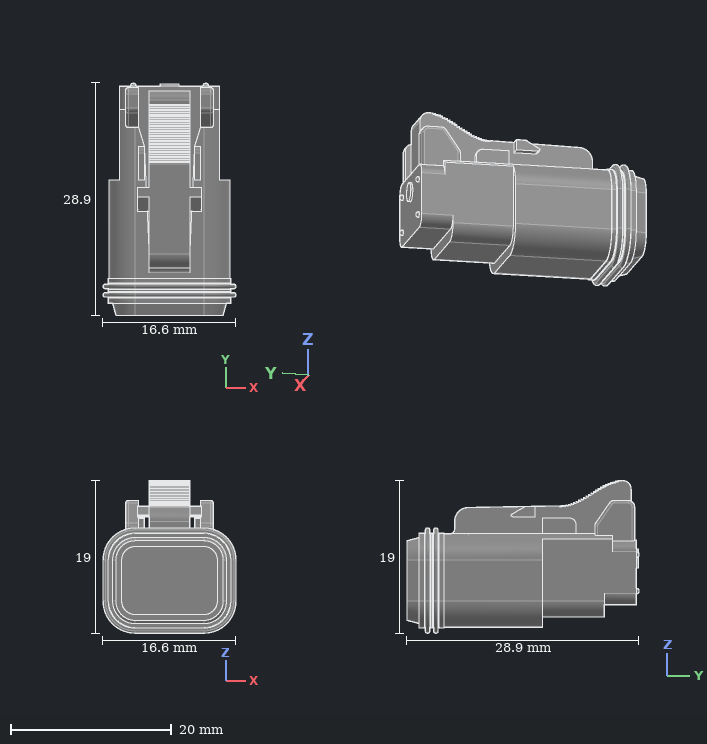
import cadquery as cq
import math


ring_outer_width = 16.55
ring_outer_height = 13.1
corner_x = 4.27
ring_radius = ring_outer_width / 2 - corner_x
corner_z = ring_outer_height / 2 - ring_radius
shell_radius = 3.25
collar_radius = 3.35
groove_depth = 0.1
groove_radius = collar_radius - groove_depth
nose_radius = 2.8
recess_radius = 1.68

nose_length = 1.5
nose_inset = 0.4
recess_depth = 0.17
collar_rear = 4.62
ring_centers = (2.57, 3.6)
ring_tip_radius = 0.3
groove_width = 0.8

shell_rear = 16.87
body_rear = 28.53
body_half_width = 6.25
body_top = corner_z + shell_radius
body_bottom = -4.53
body_bottom_radius = 1.95
lower_step = 24.55
upper_step = 25.6
tail_top = 5.05
tail_bottom = -3.03
tail_radius = 1.42

channel_floor = tail_top
channel_half_rear = 3.85
channel_half_neck = 3.12
channel_neck = 21.02
channel_taper_start = 23.35

lever_width = 5.05
lever_half_width = lever_width / 2
lever_front = 5.92
lever_rear = 27.9
lever_top = 12.45
lever_shoulder = 9.3
lever_front_top = 9.1
lever_front_radius = 1.73
lever_root_radius = 0.58
lever_rear_radius = 1.1
slope_front = 18.85
serration_rear = 26.25
tooth_count = 24
tooth_depth = 0.1

tab_half_span = 3.95
tab_rear = 15.95
tab_flat_front = 14.73
tab_tip = 12.95
tab_bottom = 7.9
tab_tip_height = 0.25

rail_top = 7.77
rail_round = 0.8

lug_inner = channel_half_rear
lug_outer = 5.45
lug_rear = 28.33
lug_front = channel_taper_start
lug_top = 9.95
lug_flat_front = 25.4
lug_shoulder = 7.0
lug_rear_radius = 0.8
lug_bend_radius = 0.72
lug_edge_radius = 0.35

disc_radius = 1.18
disc_height = 0.25
disc_z = 2.75
stud_radius = 0.35
stud_height = 0.35
stud_round = 0.32
stud_x = 4.5
stud_levels = (3.23, -1.3)


def cushion(radius, y_front, y_rear):
    """Rounded rectangle about the shell axis, running along Y."""
    width = 2 * (corner_x + radius)
    height = 2 * (corner_z + radius)
    length = y_rear - y_front
    block = cq.Workplane("XY").box(width, length, height)
    return block.edges("|Y").fillet(radius).translate((0, (y_front + y_rear) / 2, 0))


def slab(x_range, y_range, z_range):
    """Box given by its limits along each axis."""
    limits = (x_range, y_range, z_range)
    size = [high - low for low, high in limits]
    center = [(low + high) / 2 for low, high in limits]
    return cq.Workplane("XY").box(*size).translate(tuple(center))


def both_sides(solid):
    return solid.union(solid.mirror("YZ"))


def make_nose():
    taper = math.degrees(math.atan(nose_inset / nose_length))
    outline = cushion(nose_radius, nose_length, collar_rear).faces("<Y").wires().toPending()
    nose = outline.workplane().extrude(nose_length, taper=taper, combine=False)
    return nose.cut(cushion(recess_radius, 0, recess_depth))


def make_ring(center):
    """Sealing ring with parallel flanks and a fully rounded tip."""
    tip_x = corner_x + ring_radius
    flank_x = tip_x - ring_tip_radius
    base_x = corner_x + groove_radius - ring_tip_radius
    front = center - ring_tip_radius
    rear = center + ring_tip_radius
    path = cushion(groove_radius, center, collar_rear).faces("<Y").wires()
    section = (
        cq.Workplane("XY")
        .moveTo(base_x, front)
        .lineTo(flank_x, front)
        .threePointArc((tip_x, center), (flank_x, rear))
        .lineTo(base_x, rear)
        .close()
    )
    return section.sweep(path)


def make_collar():
    collar = cushion(collar_radius, nose_length, collar_rear)
    for center in ring_centers:
        groove_front = center - groove_width / 2
        groove_rear = center + groove_width / 2
        band = cushion(ring_radius, groove_front, groove_rear)
        collar = collar.cut(band.cut(cushion(groove_radius, groove_front, groove_rear)))
        collar = collar.union(make_ring(center))
    return collar


def make_rear_body():
    width = (-body_half_width, body_half_width)
    lower = slab(width, (shell_rear, lower_step), (body_bottom, body_top))
    lower = lower.edges("|Y and <Z").fillet(body_bottom_radius)
    middle = slab(width, (lower_step, upper_step), (tail_bottom, body_top))
    middle = middle.edges("|Y and <Z").fillet(tail_radius)
    body = lower.union(middle).intersect(cushion(shell_radius, shell_rear, upper_step))
    tail = slab(width, (upper_step, body_rear), (tail_bottom, tail_top))
    return body.union(tail.edges("|Y").fillet(tail_radius))


def make_channel():
    half = [
        (channel_half_rear, body_rear),
        (channel_half_rear, channel_taper_start),
        (channel_half_neck, channel_neck),
        (lever_half_width, lever_front + lever_front_radius),
    ]
    mirrored = [(-x, y) for x, y in reversed(half)]
    plan = cq.Workplane("XY", origin=(0, 0, channel_floor)).polyline(half + mirrored).close()
    return plan.extrude(body_top)


def slope_height(y):
    """Half-cosine ramp from the lever's shoulder up to its thumb crest."""
    crest = lever_rear - lever_rear_radius
    travel = (crest - y) / (crest - slope_front)
    middle = (lever_top + lever_shoulder) / 2
    return middle + (lever_top - lever_shoulder) / 2 * math.cos(math.pi * travel)


def deck_height(y):
    """Nearly level top of the lever between its shoulder and its rounded front."""
    deck_front = lever_front + lever_front_radius
    travel = (y - deck_front) / (slope_front - deck_front)
    return lever_front_top + (lever_shoulder - lever_front_top) * travel


def serrations():
    """Grip outline of flat-topped teeth, from the thumb crest down to the shoulder."""
    pitch = (serration_rear - slope_front) / tooth_count
    points = []
    for tooth in range(tooth_count):
        rear = serration_rear - tooth * pitch
        middle = rear - pitch / 2
        front = rear - pitch
        land = slope_height(front)
        floor = land - tooth_depth
        points += [(rear, floor), (middle, floor), (middle, land), (front, land)]
    return points


def make_lever():
    crest = lever_rear - lever_rear_radius
    bend = math.sqrt(0.5)
    bend_y = lever_front + lever_front_radius
    bend_z = lever_front_top - lever_front_radius
    root_y = lever_front - lever_root_radius
    root_z = body_top + lever_root_radius
    profile = (
        cq.Workplane("YZ", origin=(-lever_half_width, 0, 0))
        .moveTo(lever_rear, channel_floor)
        .lineTo(lever_rear, lever_top - lever_rear_radius)
        .threePointArc(
            (crest + lever_rear_radius * bend, lever_top - lever_rear_radius * (1 - bend)),
            (crest, lever_top),
        )
        .lineTo(serration_rear, slope_height(serration_rear))
    )
    for point in serrations():
        profile = profile.lineTo(*point)
    profile = (
        profile.lineTo(bend_y, lever_front_top)
        .threePointArc(
            (bend_y - lever_front_radius * bend, bend_z + lever_front_radius * bend),
            (lever_front, bend_z),
        )
        .lineTo(lever_front, root_z)
        .threePointArc(
            (root_y + lever_root_radius * bend, root_z - lever_root_radius * bend),
            (root_y, body_top),
        )
        .lineTo(root_y, channel_floor)
        .close()
    )
    return profile.extrude(lever_width)


def make_tabs():
    profile = [
        (tab_rear, deck_height(tab_rear)),
        (tab_flat_front, deck_height(tab_flat_front)),
        (tab_tip, tab_bottom + tab_tip_height),
        (tab_tip, tab_bottom + tab_tip_height / 2),
        (tab_tip + tab_tip_height, tab_bottom),
        (tab_rear, tab_bottom),
    ]
    start = cq.Workplane("YZ", origin=(-tab_half_span, 0, 0))
    return start.polyline(profile).close().extrude(2 * tab_half_span)


def make_rails():
    sides = (channel_half_neck, channel_half_rear)
    rail = slab(sides, (shell_rear, channel_neck), (channel_floor, rail_top))
    return both_sides(rail.faces(">Y").edges(">Z").fillet(rail_round))


def make_lugs():
    profile = [
        (lug_rear, 0),
        (lug_rear, lug_top),
        (lug_flat_front, lug_top),
        (lug_front, lug_shoulder),
        (lug_front, 0),
    ]
    start = cq.Workplane("YZ", origin=(lug_inner, 0, 0))
    lug = start.polyline(profile).close().extrude(lug_outer - lug_inner)
    lug = lug.faces(">Y").edges(">Z").fillet(lug_rear_radius)
    lug = lug.faces("<Y").edges(">Z").fillet(lug_bend_radius)
    lug = lug.faces(">Z").edges("<Y").fillet(lug_bend_radius)
    lug = lug.faces(">X").edges("not <Z").fillet(lug_edge_radius)
    tail = slab((lug_inner, lug_outer), (lug_front, lug_rear), (0, tail_top - tail_radius))
    return both_sides(lug.cut(tail))


def make_rear_marks():
    rear = cq.Workplane("XZ", origin=(0, body_rear, 0))
    marks = rear.center(0, disc_z).circle(disc_radius).extrude(-disc_height)
    for z in stud_levels:
        for x in (-stud_x, stud_x):
            stud = rear.center(x, z).circle(stud_radius).extrude(-stud_height)
            marks = marks.union(stud.faces(">Y").edges().fillet(stud_round))
    return marks


result = cushion(shell_radius, collar_rear, shell_rear)
result = result.union(make_rear_body())
result = result.union(make_collar()).union(make_nose())
result = result.union(make_lugs())
result = result.cut(make_channel())
result = result.union(make_lever()).union(make_tabs())
result = result.union(make_rails()).union(make_rear_marks())